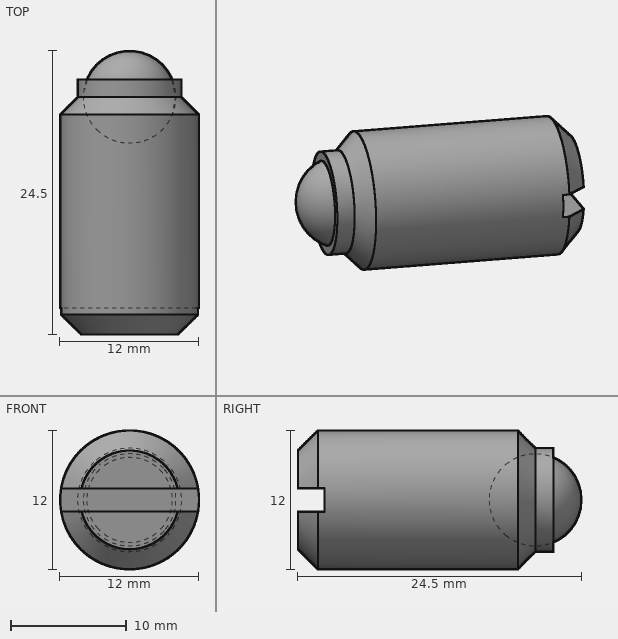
import cadquery as cq

total_length = 24.5
body_radius = 6.0
slot_end_chamfer = 1.75
slot_width = 2.0
slot_depth = 2.3

neck_radius = 4.48
neck_end = 22.05
neck_length = 1.55
nose_chamfer = body_radius - neck_radius

ball_radius = 4.0
ball_center = total_length - ball_radius

neck_start = neck_end - neck_length
nose_start = neck_start - nose_chamfer


def make_ball():
    return cq.Workplane("XY").sphere(ball_radius).translate((0, ball_center, 0))


def make_turned_body():
    """Revolve the half profile (radius, Y) about the Y axis."""
    return (
        cq.Workplane("XY")
        .moveTo(0, 0)
        .lineTo(body_radius - slot_end_chamfer, 0)
        .lineTo(body_radius, slot_end_chamfer)
        .lineTo(body_radius, nose_start)
        .lineTo(neck_radius, neck_start)
        .lineTo(neck_radius, neck_end)
        .lineTo(0, neck_end)
        .close()
        .revolve(360, (0, 0, 0), (0, 1, 0))
    )


def make_driver_slot():
    """Screwdriver slot across the full width of the flat end."""
    return cq.Workplane("XY").box(
        2 * body_radius, slot_depth, slot_width, centered=(True, False, True)
    )


def make_housing():
    return make_turned_body().cut(make_driver_slot()).cut(make_ball())


housing = make_housing()
ball = make_ball()

result = cq.Compound.makeCompound([housing.val(), ball.val()])